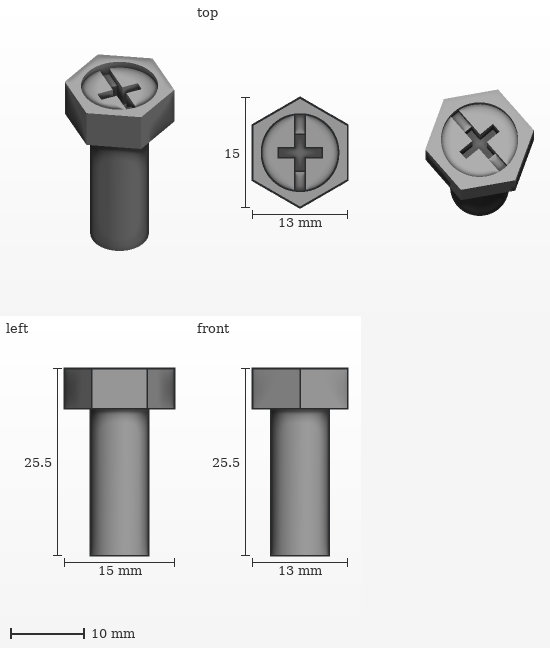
import cadquery as cq
import math

total_height = 25.5
head_height = 5.5
across_flats = 13.0
shank_diameter = 8.0

dish_diameter = 10.5
dish_depth = 1.0
slot_width = 1.4
slot_depth = 1.0
cross_length_x = 6.0
cross_length_y = 5.0
cross_depth = 3.0

across_corners = across_flats / math.cos(math.pi / 6)
shank_length = total_height - head_height
dish_floor = total_height - dish_depth


def pocket(length_x, length_y, depth):
    """Rectangular cutter reaching down from the dish floor."""
    return (
        cq.Workplane("XY")
        .workplane(offset=dish_floor - depth)
        .rect(length_x, length_y)
        .extrude(depth)
    )


def round_cutter(depth):
    """Cylinder of the dish diameter reaching down from the top of the head."""
    return (
        cq.Workplane("XY")
        .workplane(offset=total_height - depth)
        .circle(dish_diameter / 2)
        .extrude(depth)
    )


shank = cq.Workplane("XY").circle(shank_diameter / 2).extrude(shank_length)
head = (
    cq.Workplane("XY")
    .polygon(6, across_corners)
    .extrude(head_height)
    .rotate((0, 0, 0), (0, 0, 1), 90)
    .translate((0, 0, shank_length))
)

slot = pocket(slot_width, dish_diameter, slot_depth).intersect(
    round_cutter(dish_depth + slot_depth)
)

cross = pocket(cross_length_x, slot_width, cross_depth).union(
    pocket(slot_width, cross_length_y, cross_depth)
)

result = head.union(shank).cut(round_cutter(dish_depth)).cut(slot).cut(cross)